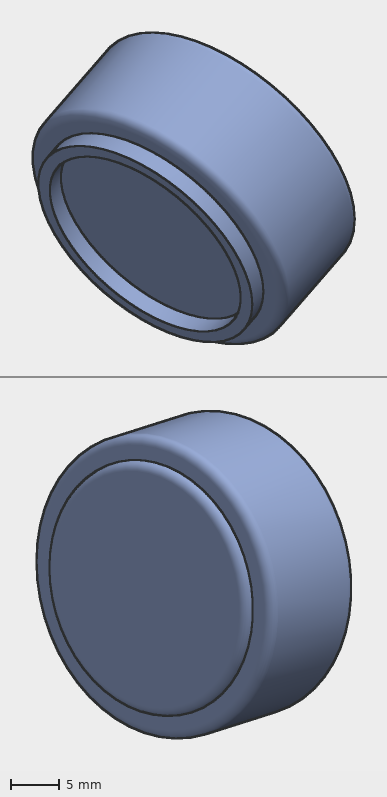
import cadquery as cq

body_diameter = 32.3
body_length = 13.5
body_fillet = 1.0
boss_diameter = 27.1
front_rim_length = 2.0
back_boss_length = 1.0
back_boss_fillet = 0.97
recess_diameter = 24.15
recess_depth = 2.0

total_length = front_rim_length + body_length + back_boss_length
front_y = -total_length / 2
body_front_y = front_y + front_rim_length
body_back_y = body_front_y + body_length


def disc(diameter, start_y, length):
    """Solid cylinder along Y, running from start_y toward +Y."""
    plane = cq.Plane(origin=(0, start_y, 0), xDir=(1, 0, 0), normal=(0, 1, 0))
    return cq.Workplane(plane).circle(diameter / 2).extrude(length)


body = disc(body_diameter, body_front_y, body_length).faces("<Y or >Y").edges().fillet(body_fillet)

front_rim = disc(boss_diameter, front_y, front_rim_length)
back_boss = disc(boss_diameter, body_back_y, back_boss_length).faces(">Y").edges().fillet(back_boss_fillet)

recess = disc(recess_diameter, front_y, recess_depth)

result = body.union(front_rim).union(back_boss).cut(recess)